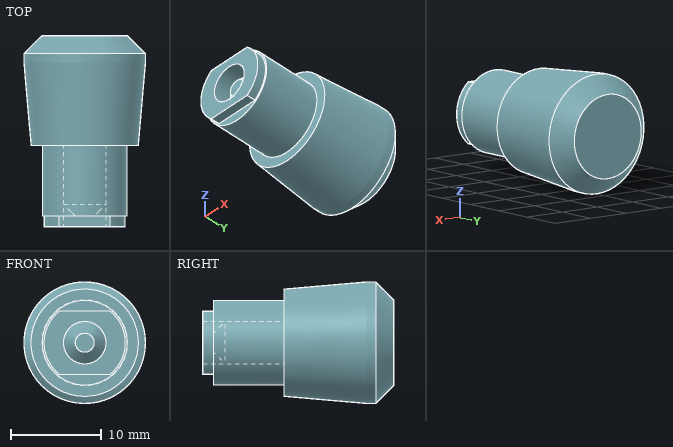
import cadquery as cq


knob_diameter = 13.5
skirt_front_diameter = 11.9
skirt_length = 9.2
rim_length = 1.0
crown_chamfer = 2.0

stem_diameter = 9.4
stem_length = 7.8
collar_diameter = 9.0
collar_length = 1.2
collar_flat_width = 7.0

bore_diameter = 4.7
pin_tip_diameter = 2.1
pin_tip_depth = 1.2
pin_nose_length = 1.3

collar_front = 0.0
stem_front = collar_front + collar_length
skirt_front = stem_front + stem_length
rim_front = skirt_front + skirt_length
crown_front = rim_front + rim_length
crown_back = crown_front + crown_chamfer
pin_tip = collar_front + pin_tip_depth
pin_shoulder = pin_tip + pin_nose_length
bore_floor = skirt_front


def turned(profile):
    """Revolve a closed list of (radius, y) points about the Y axis."""
    return cq.Workplane("XY").polyline(profile).close().revolve(360, (0, 0, 0), (0, 1, 0))


def make_collar():
    """Disc cut back to two flats facing +Z and -Z."""
    disc = turned([
        (0, collar_front),
        (collar_diameter / 2, collar_front),
        (collar_diameter / 2, stem_front),
        (0, stem_front),
    ])
    between_flats = cq.Workplane("XY").box(
        collar_diameter, collar_length, collar_flat_width, centered=(True, False, True)
    ).translate((0, collar_front, 0))
    return disc.intersect(between_flats)


def make_housing():
    """Knob, stem and collar in one piece, with a blind bore from the front."""
    knob_and_stem = turned([
        (0, stem_front),
        (stem_diameter / 2, stem_front),
        (stem_diameter / 2, skirt_front),
        (skirt_front_diameter / 2, skirt_front),
        (knob_diameter / 2, rim_front),
        (knob_diameter / 2, crown_front),
        (knob_diameter / 2 - crown_chamfer, crown_back),
        (0, crown_back),
    ])
    bore = turned([
        (0, collar_front),
        (bore_diameter / 2, collar_front),
        (bore_diameter / 2, bore_floor),
        (0, bore_floor),
    ])
    return knob_and_stem.union(make_collar()).cut(bore)


def make_pin():
    """Pin seated on the bore floor, with a flat-tipped conical nose."""
    return turned([
        (0, pin_tip),
        (pin_tip_diameter / 2, pin_tip),
        (bore_diameter / 2, pin_shoulder),
        (bore_diameter / 2, bore_floor),
        (0, bore_floor),
    ])


housing = make_housing()
pin = make_pin()
result = cq.Compound.makeCompound([housing.val(), pin.val()])